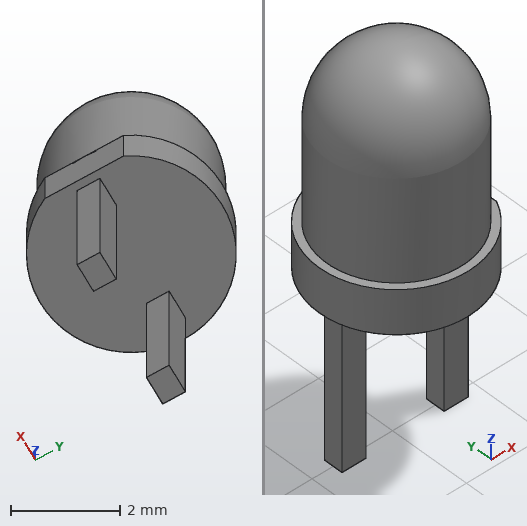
import cadquery as cq

total_height = 9.24
lens_diameter = 3.465
flange_diameter = 3.84
flange_height = 1.09
lead_length = 3.91
lead_width = 0.6
lead_thickness = 0.48
lead_pitch = 2.54

lens_radius = lens_diameter / 2
flange_radius = flange_diameter / 2
flange_top = lead_length + flange_height
dome_base = total_height - lens_radius
flat_x = lens_radius


def make_lens():
    """Cylindrical barrel with a hemispherical dome, revolved about Z."""
    return (
        cq.Workplane("XZ")
        .moveTo(0, flange_top)
        .lineTo(lens_radius, flange_top)
        .lineTo(lens_radius, dome_base)
        .radiusArc((0, total_height), -lens_radius)
        .close()
        .revolve(360, (0, 0, 0), (0, 1, 0))
    )


def make_flange():
    """Round base disc with one flat on its +X side."""
    disc = cq.Workplane("XY").workplane(offset=lead_length).circle(flange_radius).extrude(flange_height)
    flat_cutter = (
        cq.Workplane("XY")
        .workplane(offset=lead_length)
        .center(flat_x + flange_radius / 2, 0)
        .rect(flange_radius, flange_diameter)
        .extrude(flange_height)
    )
    return disc.cut(flat_cutter)


def make_lead(center_x):
    """Straight rectangular lead ending at the underside of the flange."""
    return cq.Workplane("XY").center(center_x, 0).rect(lead_width, lead_thickness).extrude(lead_length)


lens = make_lens()
flange = make_flange()
leads = [make_lead(side * lead_pitch / 2) for side in (-1, 1)]

result = cq.Compound.makeCompound([lens.val(), flange.val(), *[lead.val() for lead in leads]])